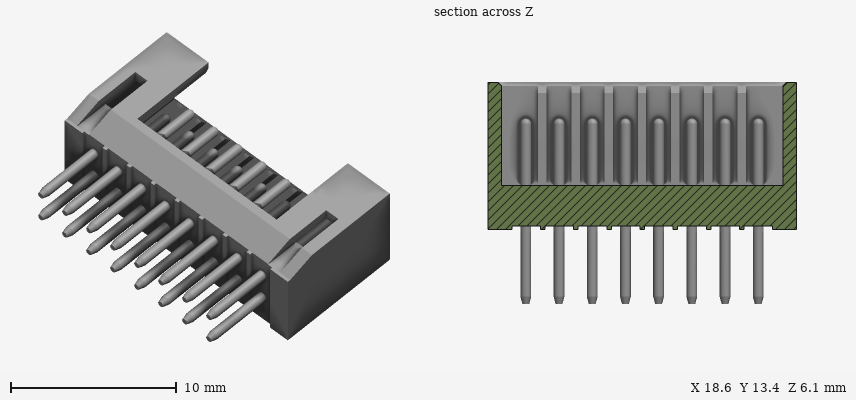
import cadquery as cq

WIDTH = 18.6
DEPTH = 8.9
HEIGHT = 6.1
PANEL = 0.76
SLOPE_DROP = 0.7
SLOPE_REAR_Y = 2.1

RECESS = 0.2
FOOT_WIDTH = 1.47
BAR_WIDTH = 0.3

CAVITY_WIDTH = 16.93
CAVITY_DEPTH = 6.21
MOUTH_CHAMFER = 0.25
NOTCH_WIDTH = 11.6
FLOOR_RIB_WIDTH = 0.5
FLOOR_RIB_HEIGHT = 0.52
FLOOR_RIB_RAMP = 0.45

SLOT_WIDTH = 1.0
SLOT_REAR_Y = 5.28

COLUMNS = 8
COLUMN_SPAN = 14.0
ROW_SPACING = 2.0
PIN_DIAMETER = 0.65
TAIL_LENGTH = 4.5
TAIL_TAPER = 0.45
TAIL_TIP_DIAMETER = 0.4
PIN_SETBACK = 2.21

pitch = COLUMN_SPAN / (COLUMNS - 1)
column_xs = [i * pitch - COLUMN_SPAN / 2 for i in range(COLUMNS)]
gap_xs = [x + pitch / 2 for x in column_xs[:-1]]
row_zs = [HEIGHT / 2 - ROW_SPACING / 2, HEIGHT / 2 + ROW_SPACING / 2]
foot_top = HEIGHT - SLOPE_DROP
ceiling = HEIGHT - PANEL
cavity_front = DEPTH - CAVITY_DEPTH
slot_x = (CAVITY_WIDTH - SLOT_WIDTH) / 2


def block(x_centre, width, y_start, y_end, z_start, z_end):
    """Box centred on x_centre, between the given Y and Z limits."""
    size_y = y_end - y_start
    size_z = z_end - z_start
    box = cq.Workplane("XY").box(width, size_y, size_z, centered=(True, False, False))
    return box.translate((x_centre, y_start, z_start))


def side_profile(points, x_centre, width):
    """Extrude a (Y, Z) outline along X, centred on x_centre."""
    prism = cq.Workplane("YZ").polyline(points).close().extrude(width / 2, both=True)
    return prism.translate((x_centre, 0, 0))


def housing_body():
    outline = [
        (0, 0),
        (DEPTH, 0),
        (DEPTH, HEIGHT),
        (SLOPE_REAR_Y, HEIGHT),
        (RECESS, foot_top),
        (0, foot_top),
    ]
    body = side_profile(outline, 0, WIDTH)
    body = body.cut(block(0, WIDTH - 2 * FOOT_WIDTH, 0, RECESS, 0, HEIGHT))
    for x in gap_xs:
        body = body.union(block(x, BAR_WIDTH, 0, RECESS, 0, foot_top))
    return body


def cavity():
    """Rectangular pocket whose mouth flares out at 45 degrees."""
    flare_width = CAVITY_WIDTH + 2 * MOUTH_CHAMFER
    flare_height = ceiling - PANEL + 2 * MOUTH_CHAMFER
    flare = (
        cq.Workplane("XZ", origin=(0, DEPTH, HEIGHT / 2))
        .rect(flare_width, flare_height)
        .extrude(MOUTH_CHAMFER, taper=45)
    )
    return block(0, CAVITY_WIDTH, cavity_front, DEPTH, PANEL, ceiling).union(flare)


def floor_rib(x):
    """Rib between two pin columns, with a ramp facing the mouth."""
    rib_rear = DEPTH - MOUTH_CHAMFER
    rib_top = PANEL + FLOOR_RIB_HEIGHT
    outline = [
        (cavity_front, PANEL),
        (rib_rear, PANEL),
        (rib_rear - FLOOR_RIB_RAMP, rib_top),
        (cavity_front, rib_top),
    ]
    return side_profile(outline, x, FLOOR_RIB_WIDTH)


def pin(x, z):
    """Round pin along Y with a tapered tail and a domed mating end."""
    radius = PIN_DIAMETER / 2
    tail_end = -TAIL_LENGTH
    taper_start = tail_end + TAIL_TAPER
    dome_end = DEPTH - PIN_SETBACK
    dome_start = dome_end - radius
    dome_mid = radius * 0.5 ** 0.5
    half_section = (
        cq.Workplane("XY")
        .moveTo(0, tail_end)
        .lineTo(TAIL_TIP_DIAMETER / 2, tail_end)
        .lineTo(radius, taper_start)
        .lineTo(radius, dome_start)
        .threePointArc((dome_mid, dome_start + dome_mid), (0, dome_end))
        .close()
    )
    return half_section.revolve(360, (0, 0, 0), (0, 1, 0)).translate((x, 0, z))


result = housing_body().cut(cavity())
result = result.cut(block(0, NOTCH_WIDTH, cavity_front, DEPTH, ceiling, HEIGHT))
for x in (-slot_x, slot_x):
    result = result.cut(block(x, SLOT_WIDTH, RECESS, SLOT_REAR_Y, ceiling, HEIGHT))
for x in gap_xs:
    result = result.union(floor_rib(x))
for x in column_xs:
    for z in row_zs:
        result = result.union(pin(x, z))